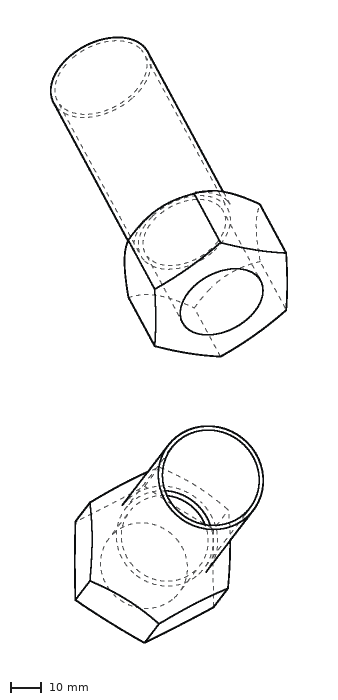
import cadquery as cq
import math

total_length = 110.0
tube_diameter = 35.0
tube_bore = 32.2
through_bore = 28.9

across_flats = 46.0
corner_radius = across_flats / 2 / math.cos(math.radians(30))

neck_angle = 45.0
neck_fillet = 2.3
cone_start = 75.9

end_face_radius = 22.7
end_chamfer_angle = 15.0

tube_radius = tube_diameter / 2
clearance = 1.1
outer_radius = corner_radius + clearance
cone_length = (outer_radius - tube_radius) / math.tan(math.radians(neck_angle))
chamfer_length = (outer_radius - end_face_radius) * math.tan(math.radians(end_chamfer_angle))
shoulder_position = cone_start


def cylinder_along_x(diameter, start, end):
    return cq.Workplane("YZ").workplane(offset=start).circle(diameter / 2).extrude(end - start)


def neck_tangents():
    """Points where the fillet meets the tube and the cone, and its middle."""
    angle = math.radians(neck_angle)
    start_x = cone_start - neck_fillet * math.tan(angle / 2)
    centre_radius = tube_radius + neck_fillet

    def on_fillet(turn):
        return (start_x + neck_fillet * math.sin(turn), centre_radius - neck_fillet * math.cos(turn))

    return on_fillet(0), on_fillet(angle / 2), on_fillet(angle)


def turned_body():
    """Solid of revolution holding the tube, the neck cone and the end chamfer."""
    fillet_start, fillet_middle, fillet_end = neck_tangents()
    return (
        cq.Workplane("XY")
        .moveTo(0, 0)
        .lineTo(0, tube_radius)
        .lineTo(*fillet_start)
        .threePointArc(fillet_middle, fillet_end)
        .lineTo(cone_start + cone_length, outer_radius)
        .lineTo(total_length - chamfer_length, outer_radius)
        .lineTo(total_length, end_face_radius)
        .lineTo(total_length, 0)
        .close()
        .revolve(360, (0, 0, 0), (1, 0, 0))
    )


def hexagonal_bar():
    corners = [
        (corner_radius * math.sin(math.radians(60 * i)), corner_radius * math.cos(math.radians(60 * i)))
        for i in range(6)
    ]
    return cq.Workplane("YZ").polyline(corners).close().extrude(total_length)


body = turned_body().intersect(hexagonal_bar())

result = body.cut(cylinder_along_x(tube_bore, 0, shoulder_position))
result = result.cut(cylinder_along_x(through_bore, shoulder_position, total_length))